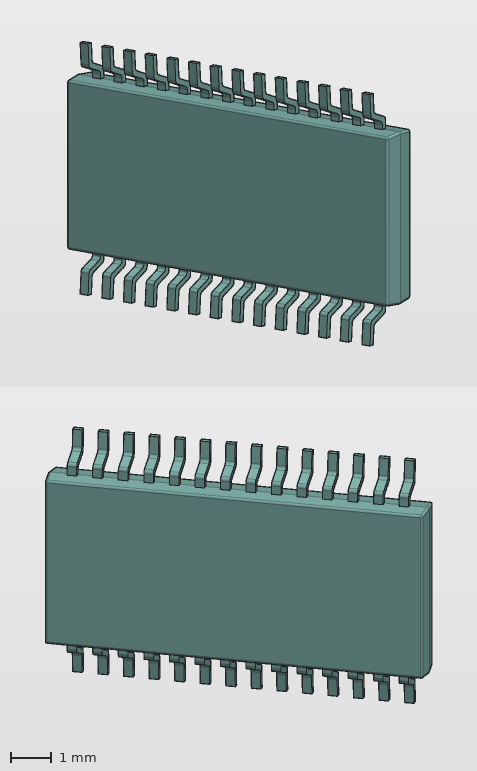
import cadquery as cq
import math

body_length = 9.7
body_height = 4.4
body_thickness = 1.0
half_thickness = body_thickness / 2
draft_angle = 5.2
edge_radius = 0.06

leads_per_row = 14
lead_pitch = 0.65
lead_width = 0.24
lead_thickness = 0.15
lead_span = 6.42
lead_offset = 0.015
standoff = 0.1
shoulder_reach = 0.24
slope_angle = 22.0
foot_angle = 4.0
bend_radius = 0.11
root_depth = 0.19


def half_body(outward):
    """One tapered half of the body; outward is +1 for the back, -1 for the front."""
    half = (
        cq.Workplane("XZ")
        .rect(body_length, body_height)
        .extrude(half_thickness, taper=draft_angle)
    )
    half = half.edges("not(|X or |Z)").fillet(edge_radius)
    half = half.faces("<Y").edges().fillet(edge_radius)
    if outward > 0:
        half = half.mirror("XZ")
    return half


def shift(point, direction, distance):
    """Move a (y, z) point along a unit direction."""
    return (point[0] + direction[0] * distance, point[1] + direction[1] * distance)


def crossing(point_a, direction_a, point_b, direction_b):
    """Point where two (y, z) lines meet."""
    determinant = direction_a[1] * direction_b[0] - direction_a[0] * direction_b[1]
    gap_y = point_b[0] - point_a[0]
    gap_z = point_b[1] - point_a[1]
    distance = (gap_z * direction_b[0] - gap_y * direction_b[1]) / determinant
    return shift(point_a, direction_a, distance)


def lead_side(side):
    """Corner points of one lead face, root to tip; side is +1 for the back face, -1 for the front."""
    slope = math.radians(slope_angle)
    foot = math.radians(foot_angle)
    up = (0.0, 1.0)
    along_slope = (-math.cos(slope), math.sin(slope))
    along_foot = (-math.sin(foot), math.cos(foot))
    half = side * lead_thickness / 2

    first_bend = (lead_offset, body_height / 2 + shoulder_reach)
    tip_front = (-half_thickness - standoff, lead_span / 2)
    tip_middle = shift(tip_front, (1.0, 0.0), lead_thickness / 2 / math.cos(foot))

    root = (lead_offset + half, body_height / 2 - root_depth)
    on_slope = shift(first_bend, (along_slope[1], -along_slope[0]), half)
    on_tip = shift(tip_middle, (1.0, 0.0), half / math.cos(foot))
    return [
        root,
        crossing(root, up, on_slope, along_slope),
        crossing(on_slope, along_slope, on_tip, along_foot),
        on_tip,
    ]


def lead():
    """Upper lead centred on X = 0."""
    back = lead_side(1)
    front = lead_side(-1)
    blank = (
        cq.Workplane("YZ")
        .polyline(back + front[::-1])
        .close()
        .extrude(lead_width / 2, both=True)
    )
    for corner in back[1:3] + front[1:3]:
        blank = blank.edges(cq.NearestToPointSelector((0, *corner))).fillet(bend_radius)
    return blank


result = half_body(-1).union(half_body(1))
upper_lead = lead()
lower_lead = upper_lead.mirror("XY")
first_lead_x = -lead_pitch * (leads_per_row - 1) / 2
for index in range(leads_per_row):
    lead_place = (first_lead_x + index * lead_pitch, 0, 0)
    result = result.union(upper_lead.translate(lead_place))
    result = result.union(lower_lead.translate(lead_place))